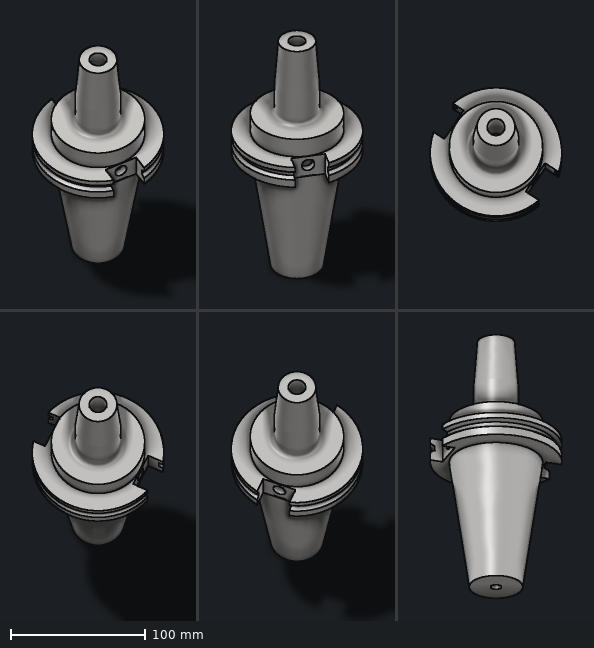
import cadquery as cq

total_height = 201.5

gauge_height = 101.6
gauge_radius = 34.9
taper_per_length = 7 / 24
shank_base_radius = gauge_radius - gauge_height * taper_per_length / 2

flange_radius = 49.2
flange_bottom = 102.8
flange_top = 120.8
groove_center = 112.9
groove_mouth_width = 7.0
groove_floor_width = 3.5
groove_floor_radius = 45.8

boss_top = 136.5
neck_radius = 17.0
neck_fillet = 5.2
nose_bottom = 164.0
tip_radius = 14.1

tool_bore_radius = 6.5
tool_bore_depth = 48.4
through_bore_radius = 4.0

slot_width = 26.0
left_slot_floor = 37.7
right_slot_floor = 35.3
slot_hole_radius = 4.8
slot_hole_depth = 6.0


def make_body():
    """Revolve half of the outer profile, with its rounded neck root, about Z."""
    mouth = groove_mouth_width / 2
    floor = groove_floor_width / 2
    shank_and_flange = [
        (0, 0),
        (shank_base_radius, 0),
        (gauge_radius, gauge_height),
        (gauge_radius, flange_bottom),
        (flange_radius, flange_bottom),
        (flange_radius, groove_center - mouth),
        (groove_floor_radius, groove_center - floor),
        (groove_floor_radius, groove_center + floor),
        (flange_radius, groove_center + mouth),
        (flange_radius, flange_top),
        (gauge_radius, flange_top),
        (gauge_radius, boss_top),
        (neck_radius + neck_fillet, boss_top),
    ]
    return (
        cq.Workplane("XZ")
        .polyline(shank_and_flange)
        .radiusArc((neck_radius, boss_top + neck_fillet), neck_fillet)
        .lineTo(neck_radius, nose_bottom)
        .lineTo(tip_radius, total_height)
        .lineTo(0, total_height)
        .close()
        .revolve(360, (0, 0, 0), (0, 1, 0))
    )


def make_bores():
    """Tool bore from the tip, continued by a narrower bore through the shank."""
    through_bore = cq.Workplane("XY").circle(through_bore_radius).extrude(total_height)
    tool_bore = (
        cq.Workplane("XY", origin=(0, 0, total_height))
        .circle(tool_bore_radius)
        .extrude(-tool_bore_depth)
    )
    return through_bore.union(tool_bore)


def make_drive_slot(side, floor_distance):
    """Slot across the flange on one side of X (side is 1 or -1), with its floor hole."""
    floor_plane = cq.Workplane("YZ", origin=(side * floor_distance, 0, groove_center))
    slot_depth = flange_radius - floor_distance
    slot_height = flange_top - flange_bottom
    slot = (
        floor_plane.center(0, (flange_bottom + flange_top) / 2 - groove_center)
        .rect(slot_width, slot_height)
        .extrude(side * slot_depth)
    )
    hole = floor_plane.circle(slot_hole_radius).extrude(-side * slot_hole_depth)
    return slot.union(hole)


result = (
    make_body()
    .cut(make_bores())
    .cut(make_drive_slot(-1, left_slot_floor))
    .cut(make_drive_slot(1, right_slot_floor))
)